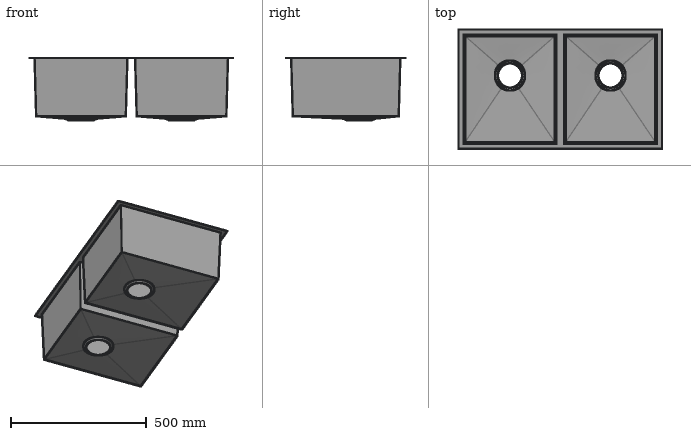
import cadquery as cq
import math


LENGTH = 750.0
WIDTH = 440.0
HEIGHT = 230.0
SHEET = 1.2

BOWL_LENGTH = 343.5
BOWL_WIDTH = 403.5
WALL_TAPER = 6.0
WALL_DEPTH = 215.0
BOWL_OFFSET = 185.0

DRAIN_Y = 50.0
DRAIN_TOP_RADIUS = 55.0
DRAIN_HOLE_RADIUS = 44.0
DRAIN_DEPTH = 5.8
DRAIN_TOP_Z = DRAIN_DEPTH - HEIGHT


def tapered_walls(length, width, foot_z):
    """Solid block with leaning sides, from Z = 0 down to foot_z."""
    return (
        cq.Workplane("XY")
        .rect(length, width)
        .workplane(offset=foot_z)
        .rect(length - 2 * WALL_TAPER, width - 2 * WALL_TAPER)
        .loft(ruled=True)
    )


def hopper(length, width, top_z, bottom_z, radius):
    """Solid that falls from a rectangle to the drain circle, creased at the corners."""
    x, y = length / 2, width / 2
    corners = [
        cq.Vector(x, y, top_z),
        cq.Vector(-x, y, top_z),
        cq.Vector(-x, -y, top_z),
        cq.Vector(x, -y, top_z),
    ]
    angles = [math.atan2(corner.y - DRAIN_Y, corner.x) for corner in corners]

    def rim_point(angle):
        return cq.Vector(radius * math.cos(angle), DRAIN_Y + radius * math.sin(angle), bottom_z)

    rim_edges = []
    top_edges = []
    for i, corner in enumerate(corners):
        following = (i + 1) % len(corners)
        start = angles[i]
        sweep = (angles[following] - start) % (2 * math.pi)
        rim_edges.append(
            cq.Edge.makeThreePointArc(
                rim_point(start), rim_point(start + sweep / 2), rim_point(start + sweep)
            )
        )
        top_edges.append(cq.Edge.makeLine(corner, corners[following]))

    faces = [
        cq.Face.makeRuledSurface(top, rim) for top, rim in zip(top_edges, rim_edges)
    ]
    faces.append(cq.Face.makeFromWires(cq.Wire.assembleEdges(top_edges)))
    faces.append(cq.Face.makeFromWires(cq.Wire.assembleEdges(rim_edges)))
    solid = cq.Solid.makeSolid(cq.Shell.makeShell(faces)).fix()
    return cq.Workplane(obj=solid)


def drain_cone(top_radius, bottom_radius, top_z):
    """Cone frustum around the drain, ending at the lowest plane of the sink."""
    cone = cq.Solid.makeCone(
        bottom_radius, top_radius, top_z + HEIGHT, pnt=cq.Vector(0, DRAIN_Y, -HEIGHT)
    )
    return cq.Workplane(obj=cone)


def bowl_form(inset):
    """Full bowl shape, set in from the outer skin by the given distance."""
    length = BOWL_LENGTH - 2 * inset
    width = BOWL_WIDTH - 2 * inset
    foot_z = inset - WALL_DEPTH
    drain_z = inset + DRAIN_TOP_Z
    rim_radius = DRAIN_TOP_RADIUS + SHEET - inset
    hole_radius = DRAIN_HOLE_RADIUS + SHEET - inset
    floor = hopper(
        length - 2 * WALL_TAPER, width - 2 * WALL_TAPER, foot_z, drain_z, rim_radius
    )
    return (
        tapered_walls(length, width, foot_z)
        .union(floor)
        .union(drain_cone(rim_radius, hole_radius, drain_z))
    )


def flange():
    return cq.Workplane("XY").box(LENGTH, WIDTH, SHEET, centered=(True, True, False)).translate(
        (0, 0, -SHEET)
    )


outer_form = bowl_form(0)
inner_form = bowl_form(SHEET)

result = flange()
for center_x in (-BOWL_OFFSET, BOWL_OFFSET):
    result = result.union(outer_form.translate((center_x, 0, 0)))
    result = result.cut(inner_form.translate((center_x, 0, 0)))